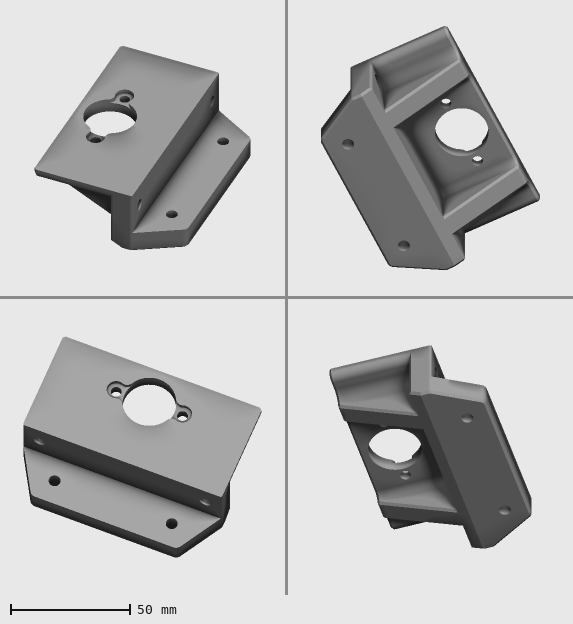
import cadquery as cq
import math

length = 65.0
width = 90.0
height = 30.0
half_width = width / 2
plate_length = 45.0
edge_chamfer = 1.0

slope_start_height = 20.0
foot_start = 40.0
slope_nose_radius = 2.0

flange_height = 10.0
flange_taper_angle = 30.0
flange_corner_radius = 3.0
flange_side_inset = 0.4
flange_side_blend_radius = 2.0
flange_hole_diameter = 5.0
flange_hole_x = 55.0
flange_hole_y = 26.5

wall_face = 35.0
pocket_spring_height = 20.0
rib_inner_y = 23.0
rib_outer_y = 32.5
center_pocket_radius = 3.5
side_pocket_radius = 5.0
plate_edge_radius = 3.5

wall_hole_diameter = 5.0
wall_counterbore_diameter = 8.0
wall_counterbore_depth = 2.0
wall_hole_y = rib_outer_y + side_pocket_radius
wall_hole_z = pocket_spring_height

opening_x = 15.0
opening_diameter = 22.5
ear_offset = 15.0
ear_radius = 4.0
ear_depth = 2.0
ear_blend_radius = 3.0
ear_hole_diameter = 4.5

tolerance = 0.01


def make_body():
    """Side profile swept across the width, with the flange end tapered in plan."""
    profile = (
        cq.Workplane("XZ")
        .moveTo(0, height)
        .lineTo(plate_length, height)
        .lineTo(plate_length, flange_height)
        .lineTo(length, flange_height)
        .lineTo(length, 0)
        .lineTo(foot_start, 0)
        .lineTo(0, slope_start_height)
        .close()
        .extrude(half_width, both=True)
    )
    taper_slope = math.tan(math.radians(flange_taper_angle))
    taper_start = plate_length - flange_side_inset / taper_slope
    tip_y = half_width - (length - taper_start) * taper_slope
    plan = (
        cq.Workplane("XY")
        .moveTo(0, -half_width)
        .lineTo(taper_start, -half_width)
        .lineTo(length, -tip_y)
        .lineTo(length, tip_y)
        .lineTo(taper_start, half_width)
        .lineTo(0, half_width)
        .close()
        .extrude(height)
        .edges("|Z and >X")
        .fillet(flange_corner_radius)
    )
    taper_corners = cq.selectors.BoxSelector(
        (taper_start - tolerance, -width, 0),
        (taper_start + tolerance, width, height),
    )
    plan = plan.edges("|Z").edges(taper_corners).fillet(flange_side_blend_radius)
    slope_nose = cq.selectors.BoxSelector(
        (-tolerance, -width, slope_start_height - tolerance),
        (tolerance, width, slope_start_height + tolerance),
    )
    return profile.edges(slope_nose).fillet(slope_nose_radius).intersect(plan)


def make_center_pocket():
    """Pocket between the ribs, with rounded upper corners."""
    ceiling = pocket_spring_height + center_pocket_radius
    return (
        cq.Workplane("YZ")
        .moveTo(-rib_inner_y, 0)
        .lineTo(-rib_inner_y, pocket_spring_height)
        .radiusArc((-rib_inner_y + center_pocket_radius, ceiling), center_pocket_radius)
        .lineTo(rib_inner_y - center_pocket_radius, ceiling)
        .radiusArc((rib_inner_y, pocket_spring_height), center_pocket_radius)
        .lineTo(rib_inner_y, 0)
        .close()
        .extrude(wall_face)
    )


def make_side_pocket():
    """Open pocket outside the +Y rib, leaving the plate edge rounded underneath."""
    ceiling = pocket_spring_height + side_pocket_radius
    return (
        cq.Workplane("YZ")
        .moveTo(rib_outer_y, 0)
        .lineTo(rib_outer_y, pocket_spring_height)
        .radiusArc((rib_outer_y + side_pocket_radius, ceiling), side_pocket_radius)
        .lineTo(half_width - plate_edge_radius, ceiling)
        .radiusArc((half_width, ceiling + plate_edge_radius), -plate_edge_radius)
        .lineTo(half_width, 0)
        .close()
        .extrude(wall_face)
    )


def chamfer_free_edge(body):
    """Chamfer the free-edge face below the top; the chain runs on along the rib undersides."""
    return body.faces("<X").edges("not >Z").chamfer(edge_chamfer)


def chamfer_wall_and_foot(body):
    """Chamfer the ends of the wall and the outline of the foot."""
    edges = body.faces("<Z").edges("not <X")
    for side in (-1, 1):
        end_y = side * half_width
        wall_end = cq.selectors.BoxSelector(
            (wall_face - tolerance, end_y - tolerance, 0),
            (foot_start - tolerance, end_y + tolerance, height - edge_chamfer),
        )
        edges = edges.add(body.edges(wall_end))
    return edges.chamfer(edge_chamfer)


def make_plate_opening():
    """Round opening through the plate with two recessed screw ears and their holes."""
    opening = cq.Workplane("XY").center(opening_x, 0).circle(opening_diameter / 2).extrude(height)
    ear_points = [(opening_x, -ear_offset), (opening_x, ear_offset)]
    ears = (
        cq.Workplane("XY", origin=(0, 0, height - ear_depth))
        .pushPoints(ear_points)
        .circle(ear_radius)
        .extrude(ear_depth)
    )
    recess = (
        cq.Workplane("XY", origin=(opening_x, 0, height - ear_depth))
        .circle(opening_diameter / 2)
        .extrude(ear_depth)
        .union(ears)
    )
    cusps = cq.selectors.BoxSelector(
        (opening_x - ear_radius + tolerance, -width, 0),
        (opening_x + ear_radius - tolerance, width, height),
    )
    recess = recess.edges("|Z").edges(cusps).fillet(ear_blend_radius)
    screw_holes = cq.Workplane("XY").pushPoints(ear_points).circle(ear_hole_diameter / 2).extrude(height)
    return recess.union(opening).union(screw_holes)


def make_flange_holes():
    """Through holes in the flange."""
    points = [(flange_hole_x, -flange_hole_y), (flange_hole_x, flange_hole_y)]
    return cq.Workplane("XY").pushPoints(points).circle(flange_hole_diameter / 2).extrude(flange_height)


def make_wall_holes():
    """Holes through the wall, counterbored from the pocket side."""
    points = [(-wall_hole_y, wall_hole_z), (wall_hole_y, wall_hole_z)]
    wall = cq.Workplane("YZ", origin=(wall_face, 0, 0)).pushPoints(points)
    holes = wall.circle(wall_hole_diameter / 2).extrude(plate_length - wall_face)
    counterbores = wall.circle(wall_counterbore_diameter / 2).extrude(wall_counterbore_depth)
    return holes.union(counterbores)


side_pocket = make_side_pocket()
body = make_body().cut(make_center_pocket()).cut(side_pocket).cut(side_pocket.mirror("XZ"))
body = chamfer_wall_and_foot(chamfer_free_edge(body))
result = body.cut(make_plate_opening()).cut(make_flange_holes()).cut(make_wall_holes())